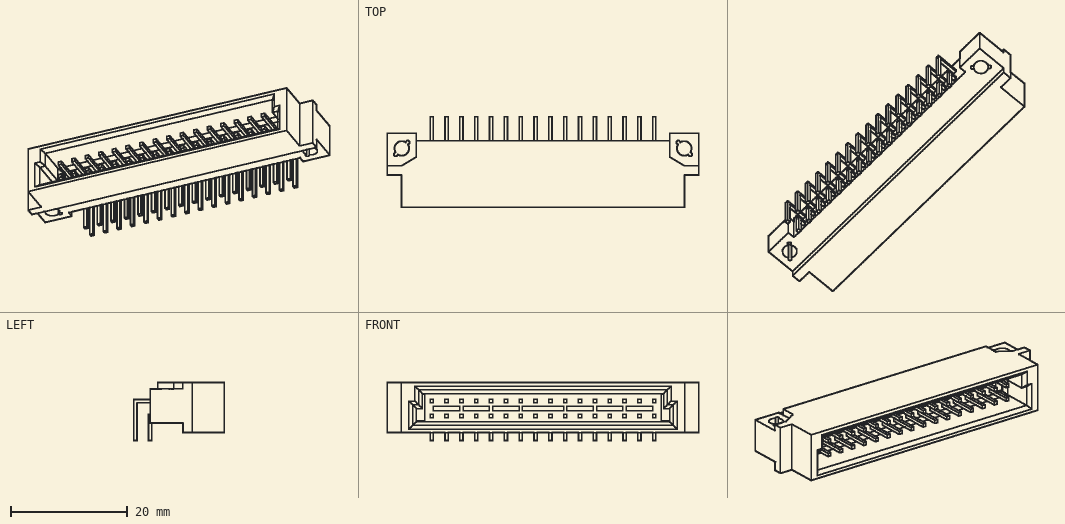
import cadquery as cq

body_length = 53.35
body_height = 8.6
shell_length = 48.45
shell_depth = 5.5
rear_y = 11.4
skirt_rear_y = 7.1
rear_bottom_z = -7.0

ear_length = 5.0
ear_rear_y = 12.7
ear_top_z = -1.1
shoulder_length = (body_length - shell_length) / 2
shoulder_inner_y = 8.65
hole_x = body_length / 2 - 2.5
hole_y = 10.1
hole_radius = 1.25
lobe_radius = 0.3
lobe_offset = 1.0

mouth_top_z = -0.65
mouth_step_z = -3.2
mouth_bottom_z = -8.0
mouth_upper_half = 21.95
mouth_lower_half = 22.95
chamfer = 0.65
cavity_depth = 6.6
floor_inset = 2 * chamfer

recess_inner_x = 20.2
recess_top_z = -2.05
recess_bottom_z = -6.55
recess_depth = 0.25

pin_columns = 16
pin_span = 38.1
pitch = pin_span / (pin_columns - 1)
pin_size = 0.6
pin_tip_y = 1.7
pin_rear_y = 15.55
pin_bottom_z = -10.0
upper_pin_z = -3.2

rib_pitches = (2, 2, 2, 3, 2, 2, 2)
rib_gap = 0.6
rib_width = 0.75
rib_height = 0.25


def box(x_min, x_max, y_min, y_max, z_min, z_max):
    size = (x_max - x_min, y_max - y_min, z_max - z_min)
    return cq.Workplane("XY").box(*size, centered=False).translate((x_min, y_min, z_min))


def centered_box(length, y_min, y_max, z_min, z_max):
    return box(-length / 2, length / 2, y_min, y_max, z_min, z_max)


def both_ends(right_end):
    return right_end.union(right_end.mirror("YZ"))


def make_body():
    shell = centered_box(shell_length, 0, skirt_rear_y, -body_height, 0)
    flange = centered_box(body_length, shell_depth, skirt_rear_y, -body_height, 0)
    rear = centered_box(body_length, skirt_rear_y, rear_y, rear_bottom_z, 0)
    end_x = body_length / 2
    ear = box(end_x - ear_length, end_x, skirt_rear_y, ear_rear_y, rear_bottom_z, ear_top_z)
    return shell.union(flange).union(rear).union(both_ends(ear))


def make_ear_steps():
    """Material removed above the ears, with a slanted shoulder toward the body."""
    end_x = body_length / 2
    outline = [
        (end_x, skirt_rear_y),
        (end_x - shoulder_length, skirt_rear_y),
        (end_x - ear_length, shoulder_inner_y),
        (end_x - ear_length, ear_rear_y),
        (end_x, ear_rear_y),
    ]
    return both_ends(cq.Workplane("XY").polyline(outline).close().extrude(ear_top_z))


def make_ear_holes():
    """Round through holes, each widened by two small lobes on one diagonal."""
    plane = cq.Workplane("XY").center(hole_x, hole_y)
    lobe_centers = [(-lobe_offset, lobe_offset), (lobe_offset, -lobe_offset)]
    hole = plane.circle(hole_radius).extrude(-body_height)
    lobes = plane.pushPoints(lobe_centers).circle(lobe_radius).extrude(-body_height)
    return both_ends(hole.union(lobes))


def cavity_section(y, inset):
    """Cavity outline at depth y: narrower above the step, moved inward by inset."""
    upper_x = mouth_upper_half - inset
    lower_x = mouth_lower_half - inset
    top_z = mouth_top_z - inset
    step_z = mouth_step_z - inset
    bottom_z = mouth_bottom_z + inset
    outline = [
        (-upper_x, top_z),
        (upper_x, top_z),
        (upper_x, step_z),
        (lower_x, step_z),
        (lower_x, bottom_z),
        (-lower_x, bottom_z),
        (-lower_x, step_z),
        (-upper_x, step_z),
    ]
    return cq.Wire.makePolygon([cq.Vector(x, y, z) for x, z in outline], close=True)


def make_cavity():
    """Straight-walled cavity with a chamfer at the mouth and another at the floor."""
    sections = [
        cavity_section(0, 0),
        cavity_section(chamfer, chamfer),
        cavity_section(cavity_depth - chamfer, chamfer),
        cavity_section(cavity_depth, floor_inset),
    ]
    cavity = cq.Workplane("XY")
    for front, rear in zip(sections, sections[1:]):
        cavity = cavity.union(cq.Workplane(cq.Solid.makeLoft([front, rear], True)))
    return cavity


def make_end_recesses():
    upper_x = mouth_upper_half - floor_inset
    lower_x = mouth_lower_half - floor_inset
    step_z = mouth_step_z - floor_inset
    recess_y = cavity_depth + recess_depth
    upper = box(recess_inner_x, upper_x, cavity_depth, recess_y, recess_bottom_z, recess_top_z)
    lower = box(recess_inner_x, lower_x, cavity_depth, recess_y, recess_bottom_z, step_z)
    return both_ends(upper.union(lower))


def make_ribs():
    """Row of ribs, each spanning a whole number of contact pitches less a gap."""
    middle_z = upper_pin_z - pitch / 2
    bottom_z = middle_z - rib_width / 2
    top_z = middle_z + rib_width / 2
    front_y = cavity_depth - rib_height
    ribs = cq.Workplane("XY")
    start_x = -pin_span / 2
    for pitches in rib_pitches:
        end_x = start_x + pitches * pitch
        rib = box(start_x + rib_gap / 2, end_x - rib_gap / 2, front_y, cavity_depth, bottom_z, top_z)
        ribs = ribs.union(rib)
        start_x = end_x
    return ribs


def make_contact(x, z, tail_rear_y):
    """Right-angle contact: a blade along Y and a tail bent down at its rear end."""
    half = pin_size / 2
    blade = box(x - half, x + half, pin_tip_y, tail_rear_y, z - half, z + half)
    tail = box(x - half, x + half, tail_rear_y - pin_size, tail_rear_y, pin_bottom_z, z + half)
    return blade.union(tail)


result = make_body()
result = result.cut(make_ear_steps()).cut(make_ear_holes())
result = result.cut(make_cavity()).cut(make_end_recesses())
result = result.union(make_ribs())
for column in range(pin_columns):
    column_x = column * pitch - pin_span / 2
    result = result.union(make_contact(column_x, upper_pin_z, pin_rear_y))
    result = result.union(make_contact(column_x, upper_pin_z - pitch, pin_rear_y - pitch))